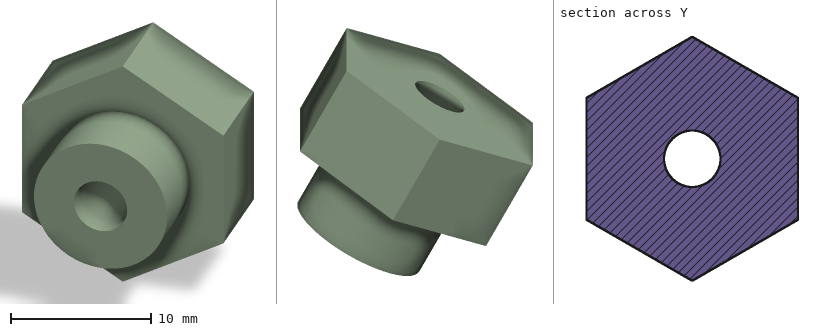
import cadquery as cq

HEX_CORNERS = 17.44
TOTAL_LENGTH = 12.1
HEAD_LENGTH = 7.0
BOSS_DIAMETER = 10.0
BORE_DIAMETER = 4.0

CORNER_ANGLE = 90.0

head = (
    cq.Workplane("XZ")
    .transformed(rotate=(0, 0, CORNER_ANGLE))
    .polygon(6, HEX_CORNERS)
    .extrude(HEAD_LENGTH)
)

boss = cq.Workplane("XZ").circle(BOSS_DIAMETER / 2).extrude(TOTAL_LENGTH)

bore = cq.Workplane("XZ").circle(BORE_DIAMETER / 2).extrude(TOTAL_LENGTH)

result = head.union(boss).cut(bore)